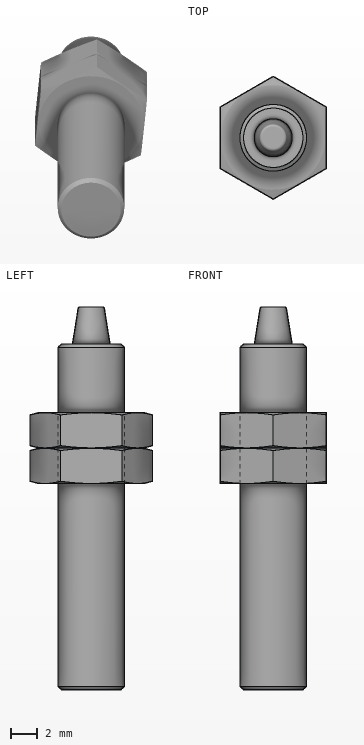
import cadquery as cq
import math

total_height = 28.8
shank_diameter = 5.0
shank_height = 26.0
shank_end_diameter = 4.45
shank_chamfer_height = 0.25
tip_base_diameter = 2.85
tip_end_diameter = 1.95
tip_edge_radius = 0.2

nut_count = 2
nut_across_flats = 8.0
hexagon_sides = 6
corner_half_angle = 180.0 / hexagon_sides
nut_across_corners = nut_across_flats / math.cos(math.radians(corner_half_angle))
nut_height = 2.68
nut_face_diameter = 7.85
nut_chamfer_angle = 15.0
lower_nut_bottom = 15.5


def make_stud():
    """Revolved shank with chamfered ends, carrying a slender cone with a rounded end."""
    shank_radius = shank_diameter / 2
    shank_end_radius = shank_end_diameter / 2
    return (
        cq.Workplane("XZ")
        .moveTo(0, 0)
        .lineTo(shank_end_radius, 0)
        .lineTo(shank_radius, shank_chamfer_height)
        .lineTo(shank_radius, shank_height - shank_chamfer_height)
        .lineTo(shank_end_radius, shank_height)
        .lineTo(tip_base_diameter / 2, shank_height)
        .lineTo(tip_end_diameter / 2, total_height)
        .lineTo(0, total_height)
        .close()
        .revolve(360, (0, 0, 0), (0, 1, 0))
        .faces(">Z")
        .edges()
        .fillet(tip_edge_radius)
    )


def make_nut(bottom):
    """Hexagon with two corners on the Y axis, both faces cut back to a cone at the corners."""
    hexagon = (
        cq.Workplane("XY")
        .polygon(hexagon_sides, nut_across_corners)
        .extrude(nut_height)
        .rotate((0, 0, 0), (0, 0, 1), corner_half_angle)
    )
    face_radius = nut_face_diameter / 2
    corner_radius = nut_across_corners / 2
    corner_drop = (corner_radius - face_radius) * math.tan(math.radians(nut_chamfer_angle))
    corner_envelope = (
        cq.Workplane("XZ")
        .moveTo(0, 0)
        .lineTo(face_radius, 0)
        .lineTo(corner_radius, corner_drop)
        .lineTo(corner_radius, nut_height - corner_drop)
        .lineTo(face_radius, nut_height)
        .lineTo(0, nut_height)
        .close()
        .revolve(360, (0, 0, 0), (0, 1, 0))
    )
    bore = cq.Workplane("XY").circle(shank_diameter / 2).extrude(nut_height)
    return hexagon.intersect(corner_envelope).cut(bore).translate((0, 0, bottom))


stud = make_stud()
nuts = [make_nut(lower_nut_bottom + index * nut_height) for index in range(nut_count)]

result = cq.Compound.makeCompound([stud.val(), *[nut.val() for nut in nuts]])